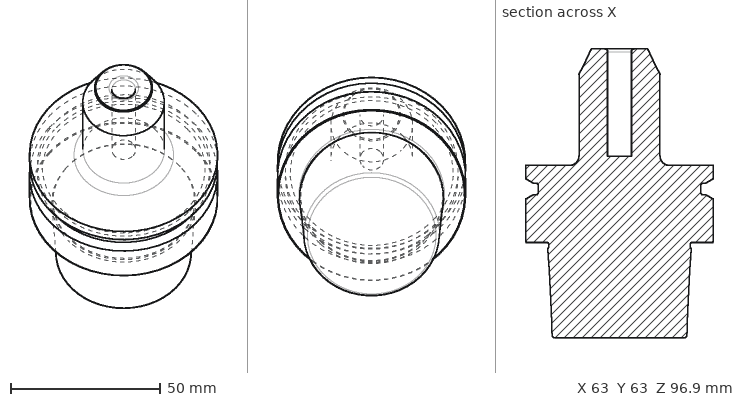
import cadquery as cq
import math

total_height = 96.9
flange_bottom = 32.0
flange_height = 26.0
flange_top = flange_bottom + flange_height

taper_top_radius = 24.1
taper_top = 29.8
taper_slope = 1 / 20
bottom_edge_fillet = 1.2
taper_bottom_radius = taper_top_radius - taper_top * taper_slope

neck_radius = 23.7
neck_bottom = 30.7
neck_fillet = 0.7

flange_radius = 31.5
flange_edge_chamfer = 0.3
groove_top = 53.3
groove_width = 6.7
groove_bottom = groove_top - groove_width
groove_floor_radius = 27.3
groove_fillet = 0.8
groove_flank_height = 1.5
groove_flank_angle = 30.0
groove_shoulder_radius = flange_radius - groove_flank_height / math.tan(math.radians(groove_flank_angle))
shoulder_top = groove_top - groove_flank_height
shoulder_bottom = groove_bottom + groove_flank_height

nose_radius = 13.7
nose_fillet = 3.0
nose_cone_bottom = 88.4
tip_radius = 9.7
tip_chamfer = 0.4

bore_radius = 4.0
bore_depth = 35.95
bore_mouth_fillet = 1.0


def inside_fillet(outline, wall_radius, face_height, fillet_radius, side, starts_on_wall):
    """Draw to and around a rounded inside corner between a vertical wall and a flat face.

    The open space lies above the face when side is +1 and below it when side is -1.
    """
    midpoint_offset = fillet_radius * (1 - math.sqrt(0.5))
    on_wall = (wall_radius, face_height + side * fillet_radius)
    on_face = (wall_radius + fillet_radius, face_height)
    midpoint = (wall_radius + midpoint_offset, face_height + side * midpoint_offset)
    start, end = (on_wall, on_face) if starts_on_wall else (on_face, on_wall)
    return outline.lineTo(*start).threePointArc(midpoint, end)


def turned_body():
    """Revolve the half section, with points as (radius, height), and round its bottom edge."""
    outline = cq.Workplane("XZ").moveTo(0, 0)

    outline = (
        outline.lineTo(taper_bottom_radius, 0)
        .lineTo(taper_top_radius, taper_top)
        .lineTo(neck_radius, neck_bottom)
    )
    outline = inside_fillet(outline, neck_radius, flange_bottom, neck_fillet, -1, True)

    outline = (
        outline.lineTo(flange_radius - flange_edge_chamfer, flange_bottom)
        .lineTo(flange_radius, flange_bottom + flange_edge_chamfer)
        .lineTo(flange_radius, groove_bottom)
        .lineTo(groove_shoulder_radius, shoulder_bottom)
    )
    outline = inside_fillet(outline, groove_floor_radius, shoulder_bottom, groove_fillet, 1, False)
    outline = inside_fillet(outline, groove_floor_radius, shoulder_top, groove_fillet, -1, True)
    outline = (
        outline.lineTo(groove_shoulder_radius, shoulder_top)
        .lineTo(flange_radius, groove_top)
        .lineTo(flange_radius, flange_top)
    )

    outline = inside_fillet(outline, nose_radius, flange_top, nose_fillet, 1, False)
    outline = (
        outline.lineTo(nose_radius, nose_cone_bottom)
        .lineTo(tip_radius, total_height - tip_chamfer)
        .lineTo(tip_radius - tip_chamfer, total_height)
        .lineTo(0, total_height)
        .close()
    )
    body = outline.revolve(360, (0, 0, 0), (0, 1, 0))
    return body.faces("<Z").edges().fillet(bottom_edge_fillet)


def bore_tool_pocket(body):
    """Cut the blind bore from the tip and round its mouth."""
    bored = body.faces(">Z").workplane().hole(2 * bore_radius, bore_depth)
    mouth_edge = cq.selectors.RadiusNthSelector(0)
    return bored.faces(">Z").edges(mouth_edge).fillet(bore_mouth_fillet)


result = bore_tool_pocket(turned_body())